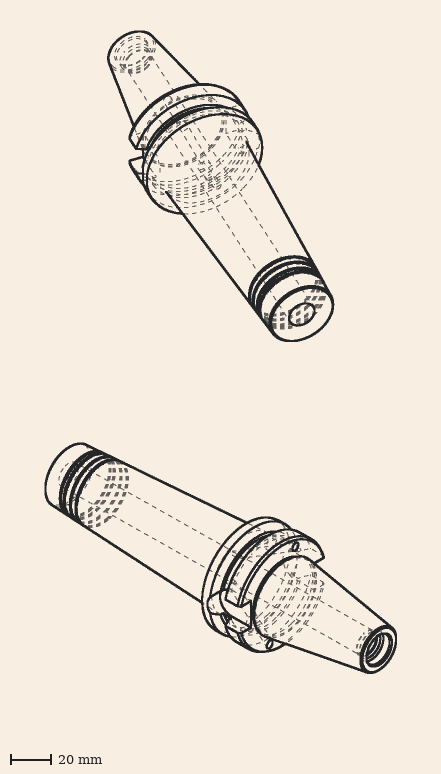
import cadquery as cq
import math

total_length = 215.5

taper_start_radius = 12.7
taper_end_x = 65.0
taper_slope = 7 / 48
taper_end_radius = taper_start_radius + taper_slope * taper_end_x
end_chamfer = 0.6

flange_x = 67.0
flange_end_x = 92.5
flange_radius = 31.5
flange_chamfer = 0.9
flange_chamfer_length = 1.7
neck_radius = 21.3
groove_radius = 25.2
groove_wall_radius = 27.1
groove_mouth_start_x = 77.1
groove_floor_start_x = 79.5
groove_floor_end_x = 84.5
groove_mouth_end_x = 87.0
rim_line_width = 1.3
rim_line_drop = 0.2

nose_start_x = 94.1
nose_start_radius = 23.5
nose_end_radius = 17.2
nose_root_fillet = nose_start_x - flange_end_x
ring_groove_positions = (192.4, 196.5, 201.0, 203.8)
ring_groove_width = 0.9
ring_groove_depth = 0.6

slot_width = 16.2
slot_end_x = 88.5
slot_floor = 22.5

mouth_radius = 9.0
mouth_chamfer_length = 1.0
entry_radius = 8.5
entry_depth = 5.4
thread_lead_in = 1.0
thread_radius = 7.43
thread_depth = 8.6
bore_radius = 7.0

channel_diameter = 4.0
channel_mouth_radius = 26.7
channel_slant = 30.0
channel_turn = 20.0
channel_overrun = 4.3
cross_hole_diameter = 4.0
cross_hole_x = (groove_floor_start_x + groove_floor_end_x) / 2


def nose_radius(x):
    """Radius of the conical nose at a position along the axis."""
    fraction = (x - nose_start_x) / (total_length - nose_start_x)
    return nose_start_radius + fraction * (nose_end_radius - nose_start_radius)


def revolve_about_x(outline):
    return outline.close().revolve(360, (0, 0, 0), (1, 0, 0))


def make_body():
    diagonal = nose_root_fillet * math.sqrt(0.5)
    rim_radius = flange_radius - rim_line_drop
    outline = (
        cq.Workplane("XY")
        .moveTo(0, 0)
        .lineTo(0, taper_start_radius - end_chamfer)
        .lineTo(end_chamfer, taper_start_radius + taper_slope * end_chamfer)
        .lineTo(taper_end_x, taper_end_radius)
        .lineTo(taper_end_x, neck_radius)
        .lineTo(flange_x, neck_radius)
        .lineTo(flange_x, flange_radius - flange_chamfer)
        .lineTo(flange_x + flange_chamfer_length, flange_radius)
        .lineTo(groove_mouth_start_x, flange_radius)
        .lineTo(groove_floor_start_x, groove_wall_radius)
        .lineTo(groove_floor_start_x, groove_radius)
        .lineTo(groove_floor_end_x, groove_radius)
        .lineTo(groove_floor_end_x, groove_wall_radius)
        .lineTo(groove_mouth_end_x, flange_radius)
        .lineTo(flange_end_x - rim_line_width, flange_radius)
        .lineTo(flange_end_x, rim_radius)
        .lineTo(flange_end_x, nose_start_radius + nose_root_fillet)
        .threePointArc(
            (nose_start_x - diagonal, nose_start_radius + nose_root_fillet - diagonal),
            (nose_start_x, nose_start_radius),
        )
        .lineTo(total_length - end_chamfer, nose_radius(total_length - end_chamfer))
        .lineTo(total_length, nose_end_radius - end_chamfer)
        .lineTo(total_length, 0)
    )
    return revolve_about_x(outline)


def make_bore():
    outline = (
        cq.Workplane("XY")
        .moveTo(0, 0)
        .lineTo(0, mouth_radius)
        .lineTo(mouth_chamfer_length, entry_radius)
        .lineTo(entry_depth, entry_radius)
        .lineTo(entry_depth + thread_lead_in, thread_radius)
        .lineTo(thread_depth, thread_radius)
        .lineTo(thread_depth, bore_radius)
        .lineTo(total_length, bore_radius)
        .lineTo(total_length, 0)
    )
    return revolve_about_x(outline)


def make_ring_groove(center_x):
    half_width = ring_groove_width / 2
    surface = nose_radius(center_x)
    return (
        cq.Workplane("YZ", origin=(center_x - half_width, 0, 0))
        .circle(surface + ring_groove_depth)
        .circle(surface - ring_groove_depth)
        .extrude(ring_groove_width)
    )


def make_drive_slot(side):
    """Round-ended slot, open toward -X, on the +Y (1) or -Y (-1) side."""
    half_width = slot_width / 2
    round_center_x = slot_end_x - half_width
    return (
        cq.Workplane("XZ", origin=(0, side * slot_floor, 0))
        .moveTo(taper_end_x, -half_width)
        .lineTo(round_center_x, -half_width)
        .threePointArc((slot_end_x, 0), (round_center_x, half_width))
        .lineTo(taper_end_x, half_width)
        .close()
        .extrude(-side * flange_radius)
    )


def make_coolant_channel(turn):
    """Slanted hole from the flange face to the bore, joined by a radial hole from the groove."""
    slant = math.radians(channel_slant)
    direction = cq.Vector(math.cos(slant), 0, -math.sin(slant))
    mouth = cq.Vector(flange_x, 0, channel_mouth_radius)
    length = (channel_mouth_radius - bore_radius / 2) / math.sin(slant)
    channel = cq.Solid.makeCylinder(
        channel_diameter / 2,
        length + channel_overrun,
        mouth - direction * channel_overrun,
        direction,
    )
    meeting_radius = channel_mouth_radius - (cross_hole_x - flange_x) * math.tan(slant)
    cross_hole = cq.Solid.makeCylinder(
        cross_hole_diameter / 2,
        flange_radius - meeting_radius,
        cq.Vector(cross_hole_x, 0, meeting_radius),
        cq.Vector(0, 0, 1),
    )
    holes = cq.Workplane(channel).union(cq.Workplane(cross_hole))
    return holes.rotate((0, 0, 0), (1, 0, 0), turn)


result = make_body().cut(make_bore())
for ring_x in ring_groove_positions:
    result = result.cut(make_ring_groove(ring_x))
for slot_side in (1, -1):
    result = result.cut(make_drive_slot(slot_side))
for half_turn in (0, 180):
    result = result.cut(make_coolant_channel(channel_turn + half_turn))